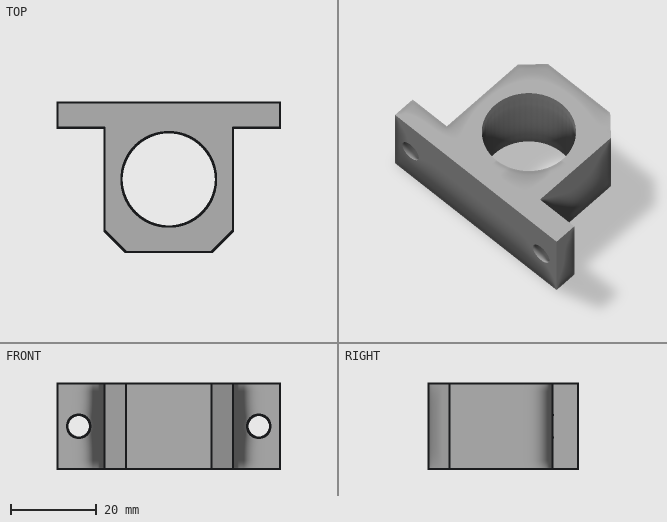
import cadquery as cq

length = 52.0
depth = 35.0
height = 20.0

flange_thickness = 6.0
screw_hole_diameter = 5.3
screw_hole_spacing = 42.0

block_width = 30.0
corner_chamfer = 5.0
bore_diameter = 22.0
bore_to_back = 18.0

back_y = bore_to_back
front_y = back_y - depth


def make_flange():
    """Flat plate with a screw hole through each ear."""
    plate = cq.Workplane("XY").box(length, flange_thickness, height)
    plate = (
        plate.faces("<Y").workplane(centerOption="CenterOfBoundBox")
        .rarray(screw_hole_spacing, 0.5, 2, 1)
        .hole(screw_hole_diameter)
    )
    return plate.translate((0, back_y - flange_thickness / 2, 0))


def make_block():
    """Block reaching from the back face to the chamfered front."""
    block = cq.Workplane("XY").box(block_width, depth, height)
    block = block.edges("|Z and <Y").chamfer(corner_chamfer)
    return block.translate((0, (front_y + back_y) / 2, 0))


bore = cq.Workplane("XY").cylinder(height, bore_diameter / 2)

result = make_flange().union(make_block()).cut(bore)